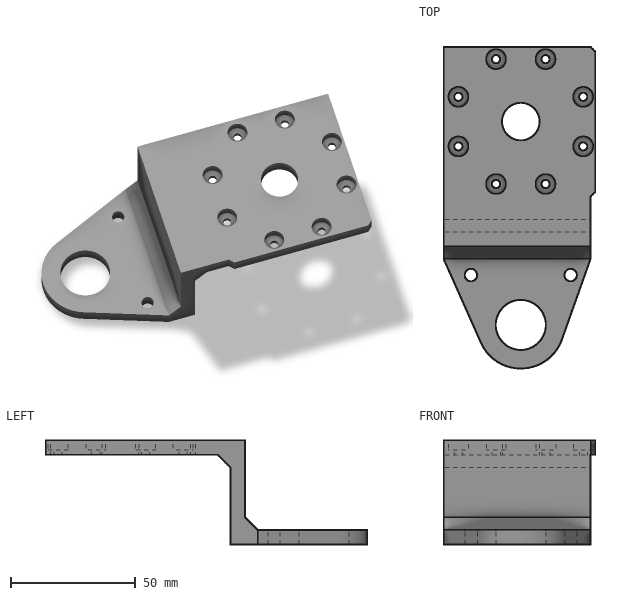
import cadquery as cq
import math

total_length = 129.1
total_height = 42.0
body_width = 59.0
thickness = 6.0

plate_length = 80.0
gusset = 5.0
side_strip_width = 2.0
side_strip_length = 60.0

axis_x = 31.0
pattern_y = -30.0
center_hole_diameter = 15.0
screw_near_offset = 10.0
screw_far_offset = 25.0
screw_diameter = 3.2
counterbore_diameter = 8.0
counterbore_depth = 4.0

tongue_radius = 17.5
tongue_hole_diameter = 20.0
pin_hole_diameter = 4.9
pin_offset = 20.0

tongue_y = -(total_length - tongue_radius)
tongue_start_y = -(plate_length + gusset)
plate_bottom = total_height - thickness


def tangent_point(corner_x, side):
    """Point where a line from a tongue corner touches the end arc; side is -1 left, 1 right."""
    dx = corner_x - axis_x
    dy = tongue_start_y - tongue_y
    angle = math.atan2(dy, dx) - side * math.acos(tongue_radius / math.hypot(dx, dy))
    return (
        axis_x + tongue_radius * math.cos(angle),
        tongue_y + tongue_radius * math.sin(angle),
    )


def make_bent_body():
    """Z-shaped profile with a gusset in each inner corner, extruded across the width."""
    wall_back = -(plate_length - thickness)
    profile = [
        (0, total_height),
        (-plate_length, total_height),
        (-plate_length, thickness + gusset),
        (tongue_start_y, thickness),
        (tongue_start_y, 0),
        (wall_back, 0),
        (wall_back, plate_bottom - gusset),
        (wall_back + gusset, plate_bottom),
        (0, plate_bottom),
    ]
    return cq.Workplane("YZ").polyline(profile).close().extrude(body_width)


def make_side_strip():
    """Narrow strip widening the upper plate, with a 45 degree slope at each end."""
    outer_x = body_width + side_strip_width
    outline = [
        (body_width - thickness, 0),
        (body_width, 0),
        (outer_x, -side_strip_width),
        (outer_x, -(side_strip_length - side_strip_width)),
        (body_width, -side_strip_length),
        (body_width - thickness, -side_strip_length),
    ]
    return cq.Workplane("XY").workplane(offset=plate_bottom).polyline(outline).close().extrude(thickness)


def make_tongue():
    """Flat tongue whose straight sides run tangent into a round end."""
    return (
        cq.Workplane("XY")
        .moveTo(0, tongue_start_y)
        .lineTo(*tangent_point(0, -1))
        .threePointArc((axis_x, -total_length), tangent_point(body_width, 1))
        .lineTo(body_width, tongue_start_y)
        .close()
        .extrude(thickness)
    )


def cut_plate_holes(body):
    """Central bore and eight counterbored screw holes in the upper plate."""
    near, far = screw_near_offset, screw_far_offset
    screws = []
    for sx in (-1, 1):
        for sy in (-1, 1):
            screws += [(sx * near, sy * far), (sx * far, sy * near)]
    plate_top = cq.Workplane("XY", origin=(axis_x, pattern_y, total_height))
    bore = plate_top.circle(center_hole_diameter / 2).extrude(-thickness)
    holes = plate_top.pushPoints(screws).circle(screw_diameter / 2).extrude(-thickness)
    counterbores = plate_top.pushPoints(screws).circle(counterbore_diameter / 2).extrude(-counterbore_depth)
    return body.cut(bore).cut(holes).cut(counterbores)


def cut_tongue_holes(body):
    """Large bore at the round end and two pin holes near the bend."""
    base = cq.Workplane("XY", origin=(axis_x, tongue_y, 0))
    pins = [(-pin_offset, pin_offset), (pin_offset, pin_offset)]
    bore = base.circle(tongue_hole_diameter / 2).extrude(thickness)
    pin_holes = base.pushPoints(pins).circle(pin_hole_diameter / 2).extrude(thickness)
    return body.cut(bore).cut(pin_holes)


body = make_bent_body().union(make_side_strip()).union(make_tongue())
result = cut_tongue_holes(cut_plate_holes(body))